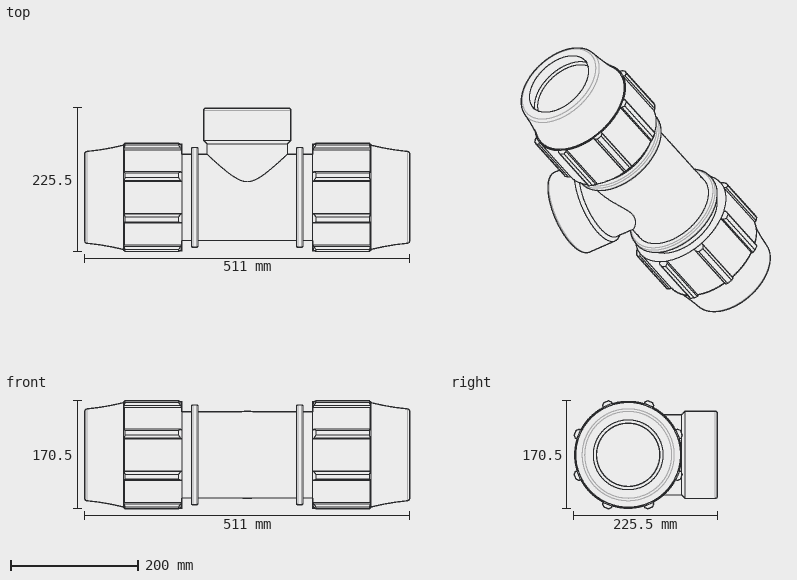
import cadquery as cq
length = 511.0
half_length = length / 2
bore_radius = 49.5

body_radius = 68.0
ring_radius = 78.5
ring_outer_x = 88.0
ring_width = 10.5
ring_fillet = 2.5

nut_radius = 84.5
nut_bevel = 1.0
nut_inner_x = 102.5
nut_outer_x = 194.0

socket_diameter = 110.0
socket_radius = socket_diameter / 2
socket_stop_x = nut_inner_x
groove_radius = 59.0
groove_peak_depth = 21.0
groove_depth = 24.0

nose_tip_radius = 72.0
nose_root_radius = 82.5
nose_sag = 1.3
nose_fillet = 4.0

rib_count = 8
rib_tip_distance = 90.5
rib_root_distance = 79.0
rib_width = 15.5
rib_chamfer = 3.5
rib_outer_bevel = 2.0
rib_inner_bevel = 5.0

branch_end_y = 280.5 / 2
neck_radius = 63.5
collar_diameter = 137.5
collar_radius = collar_diameter / 2
collar_start_y = 89.5
collar_fillet = 3.5


def x_cylinder(radius, start_x, end_x):
    """Solid cylinder on the main axis."""
    return cq.Workplane("YZ", origin=(start_x, 0, 0)).circle(radius).extrude(end_x - start_x)


def make_ring():
    """Round-edged stop ring on the +X half of the body."""
    ring = x_cylinder(ring_radius, ring_outer_x - ring_width, ring_outer_x)
    return ring.edges().fillet(ring_fillet)


def make_nose():
    """Concave flared nose, widening from the open end to the nut."""
    middle_x = (nut_outer_x + half_length) / 2
    middle_radius = (nose_root_radius + nose_tip_radius) / 2 - nose_sag
    profile = (
        cq.Workplane("XY")
        .moveTo(nut_outer_x, 0)
        .lineTo(nut_outer_x, nose_root_radius)
        .threePointArc((middle_x, middle_radius), (half_length, nose_tip_radius))
        .lineTo(half_length, 0)
        .close()
    )
    nose = profile.revolve(360, (0, 0, 0), (1, 0, 0))
    return nose.faces(">X").edges().fillet(nose_fillet)


def make_rib(angle):
    """Chamfered grip rib with bevelled ends, turned about the main axis."""
    half_width = rib_width / 2
    half_tip_width = half_width - rib_chamfer
    shoulder_distance = rib_tip_distance - rib_chamfer
    section = [
        (-half_width, rib_root_distance),
        (half_width, rib_root_distance),
        (half_width, shoulder_distance),
        (half_tip_width, rib_tip_distance),
        (-half_tip_width, rib_tip_distance),
        (-half_width, shoulder_distance),
    ]
    bar = (
        cq.Workplane("YZ", origin=(nut_inner_x, 0, 0))
        .polyline(section)
        .close()
        .extrude(nut_outer_x - nut_inner_x)
    )
    side_outline = [
        (nut_inner_x, 0),
        (nut_outer_x, 0),
        (nut_outer_x, nut_radius),
        (nut_outer_x - rib_outer_bevel, rib_tip_distance),
        (nut_inner_x + rib_inner_bevel, rib_tip_distance),
        (nut_inner_x, nut_radius),
    ]
    envelope = (
        cq.Workplane("XZ").polyline(side_outline).close().extrude(rib_width, both=True)
    )
    return bar.intersect(envelope).rotate((0, 0, 0), (1, 0, 0), angle)


def make_nut():
    """Ribbed nut with its nose, on the +X half."""
    nut = x_cylinder(nut_radius, nut_inner_x, nut_outer_x)
    nut = nut.faces(">X").chamfer(nut_bevel)
    nut = nut.union(make_nose())
    pitch = 360 / rib_count
    for index in range(rib_count):
        nut = nut.union(make_rib((index + 0.5) * pitch))
    return nut


def make_branch():
    """Branch neck with a larger collar that starts in a 45 degree taper."""
    taper_start_y = collar_start_y - (collar_radius - neck_radius)
    profile = (
        cq.Workplane("XY")
        .moveTo(0, 0)
        .lineTo(neck_radius, 0)
        .lineTo(neck_radius, taper_start_y)
        .lineTo(collar_radius, collar_start_y)
        .lineTo(collar_radius, branch_end_y)
        .lineTo(0, branch_end_y)
        .close()
    )
    branch = profile.revolve(360, (0, 0, 0), (0, 1, 0))
    return branch.faces(">Y").edges().fillet(collar_fillet)


def make_socket():
    """Pipe socket space on the +X half, widened by the undercut groove."""
    profile = (
        cq.Workplane("XY")
        .moveTo(socket_stop_x, 0)
        .lineTo(socket_stop_x, socket_radius)
        .lineTo(half_length - groove_depth, socket_radius)
        .lineTo(half_length - groove_peak_depth, groove_radius)
        .lineTo(half_length, socket_radius)
        .lineTo(half_length, 0)
        .close()
    )
    return profile.revolve(360, (0, 0, 0), (1, 0, 0))


def mirrored_pair(shape):
    """The shape and its mirror image in the middle plane of the run."""
    return shape.union(shape.mirror("YZ"))


tee = x_cylinder(body_radius, -nut_outer_x, nut_outer_x)
tee = tee.union(make_branch())
tee = tee.union(mirrored_pair(make_ring()))
tee = tee.union(mirrored_pair(make_nut()))

through_bore = x_cylinder(bore_radius, -half_length, half_length)
branch_bore = cq.Workplane("XZ").circle(bore_radius).extrude(-branch_end_y)

result = tee.cut(through_bore).cut(mirrored_pair(make_socket())).cut(branch_bore)